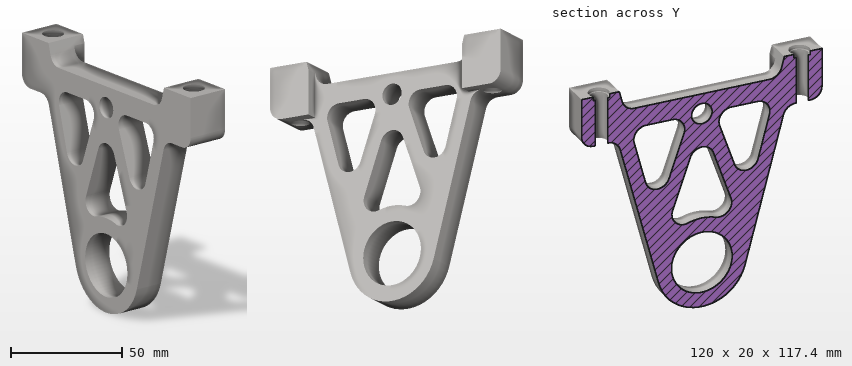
import cadquery as cq
import math

width = 120.0
height = 117.4
block_depth = 20.0
plate_depth = 14.0
corner_radius = 6.0

block_width = 20.0
block_height = 25.0
block_top_width = 19.0
screw_x = width / 2 - block_width / 2
screw_y = block_depth / 2
screw_diameter = 8.4
counterbore_diameter = 10.0
counterbore_depth = 1.8
drill_depth = block_height + corner_radius

plate_top_z = -10.0
leg_angle = math.radians(15)
wall = 7.5

bore_radius = 15.0
boss_radius = bore_radius + wall
bore_z = boss_radius - height
small_hole_diameter = 10.0
small_hole_z = -20.0

side_pocket_top_z = small_hole_z
center_pocket_top_z = -37.0
rib_angle = math.radians(19.4)


def leg_x(z, radius):
    """X at height z of the leg line that is tangent to a circle around the bore."""
    return radius / math.cos(leg_angle) + (z - bore_z) * math.tan(leg_angle)


def rib_x(z, offset):
    """X at height z of the rib line lying `offset` outside the center pocket's top arc center."""
    arc_center_z = center_pocket_top_z - corner_radius
    return offset / math.cos(rib_angle) + (arc_center_z - z) * math.tan(rib_angle)


def front_prism(points, depth):
    """Closed polygon in X and Z, extruded from the front face toward +Y."""
    return cq.Workplane("XZ").polyline(points).close().extrude(-depth)


def front_cylinder(radius, z):
    return cq.Workplane("XZ").center(0, z).circle(radius).extrude(-plate_depth)


def mirrored(points):
    """Right-hand points followed by their mirror images in reverse order."""
    return points + [(-x, z) for x, z in reversed(points)]


def corners_at(z, half_width):
    """Selector for the edges centered at height z within half_width of the middle."""
    margin = 1.2
    return cq.selectors.BoxSelector(
        (-half_width - margin, -margin, z - margin),
        (half_width + margin, block_depth + margin, z + margin),
    )


def make_body():
    side_x = width / 2
    tangent_x = boss_radius * math.cos(leg_angle)
    tangent_z = bore_z - boss_radius * math.sin(leg_angle)
    shoulder_x = side_x - block_top_width
    step_x = shoulder_x + plate_top_z * math.tan(leg_angle)
    outline = mirrored([
        (step_x, plate_top_z),
        (shoulder_x, 0),
        (side_x, 0),
        (side_x, -block_height),
        (leg_x(-block_height, boss_radius), -block_height),
        (tangent_x, tangent_z),
    ])
    body = front_prism(outline, block_depth)

    step_corners = corners_at(plate_top_z, step_x)
    block_corners = corners_at(-block_height, side_x)
    body = body.edges("|Y").edges(step_corners + block_corners).fillet(corner_radius)

    rear_depth = block_depth - plate_depth
    middle_width = width - 2 * block_width
    middle_gap = (
        cq.Workplane("XY").box(middle_width, rear_depth, height, centered=(True, False, False))
        .translate((0, plate_depth, -height))
    )
    below_blocks = (
        cq.Workplane("XY").box(width, rear_depth, height, centered=(True, False, False))
        .translate((0, plate_depth, -block_height - height))
    )
    return body.cut(middle_gap).cut(below_blocks).union(front_cylinder(boss_radius, bore_z))


def make_side_pocket():
    outer_radius = boss_radius - wall
    rib_offset = corner_radius + wall
    closing = math.tan(leg_angle) + math.tan(rib_angle)
    gap_at_top = leg_x(side_pocket_top_z, outer_radius) - rib_x(side_pocket_top_z, rib_offset)
    bottom_z = side_pocket_top_z - gap_at_top / closing
    corners = [
        (rib_x(side_pocket_top_z, rib_offset), side_pocket_top_z),
        (leg_x(side_pocket_top_z, outer_radius), side_pocket_top_z),
        (leg_x(bottom_z, outer_radius), bottom_z),
    ]
    return front_prism(corners, plate_depth).edges("|Y").fillet(corner_radius)


def make_center_pocket():
    sin_rib = math.sin(rib_angle)
    cos_rib = math.cos(rib_angle)
    top_center_z = center_pocket_top_z - corner_radius
    rise = top_center_z - bore_z
    center_distance = boss_radius + corner_radius
    run = rise * cos_rib - math.sqrt(center_distance**2 - (rise * sin_rib) ** 2)
    low_x = run * sin_rib
    low_z = top_center_z - run * cos_rib

    edge_x = corner_radius * cos_rib
    edge_z = corner_radius * sin_rib
    boss_x = low_x * boss_radius / center_distance
    boss_z = bore_z + (low_z - bore_z) * boss_radius / center_distance

    boss_direction = math.atan2(bore_z - low_z, -low_x)
    middle_direction = (rib_angle + boss_direction) / 2
    arc_x = low_x + corner_radius * math.cos(middle_direction)
    arc_z = low_z + corner_radius * math.sin(middle_direction)

    return (
        cq.Workplane("XZ")
        .moveTo(-edge_x, top_center_z + edge_z)
        .threePointArc((0, center_pocket_top_z), (edge_x, top_center_z + edge_z))
        .lineTo(low_x + edge_x, low_z + edge_z)
        .threePointArc((arc_x, arc_z), (boss_x, boss_z))
        .threePointArc((0, bore_z + boss_radius), (-boss_x, boss_z))
        .threePointArc((-arc_x, arc_z), (-low_x - edge_x, low_z + edge_z))
        .close()
        .extrude(-plate_depth)
    )


def cut_screw_holes(body):
    return (
        body.copyWorkplane(cq.Workplane("XY"))
        .pushPoints([(-screw_x, screw_y), (screw_x, screw_y)])
        .cboreHole(screw_diameter, counterbore_diameter, counterbore_depth, drill_depth)
    )


side_pocket = make_side_pocket()
result = (
    make_body()
    .cut(side_pocket)
    .cut(side_pocket.mirror("YZ"))
    .cut(make_center_pocket())
    .cut(front_cylinder(bore_radius, bore_z))
    .cut(front_cylinder(small_hole_diameter / 2, small_hole_z))
)
result = cut_screw_holes(result)